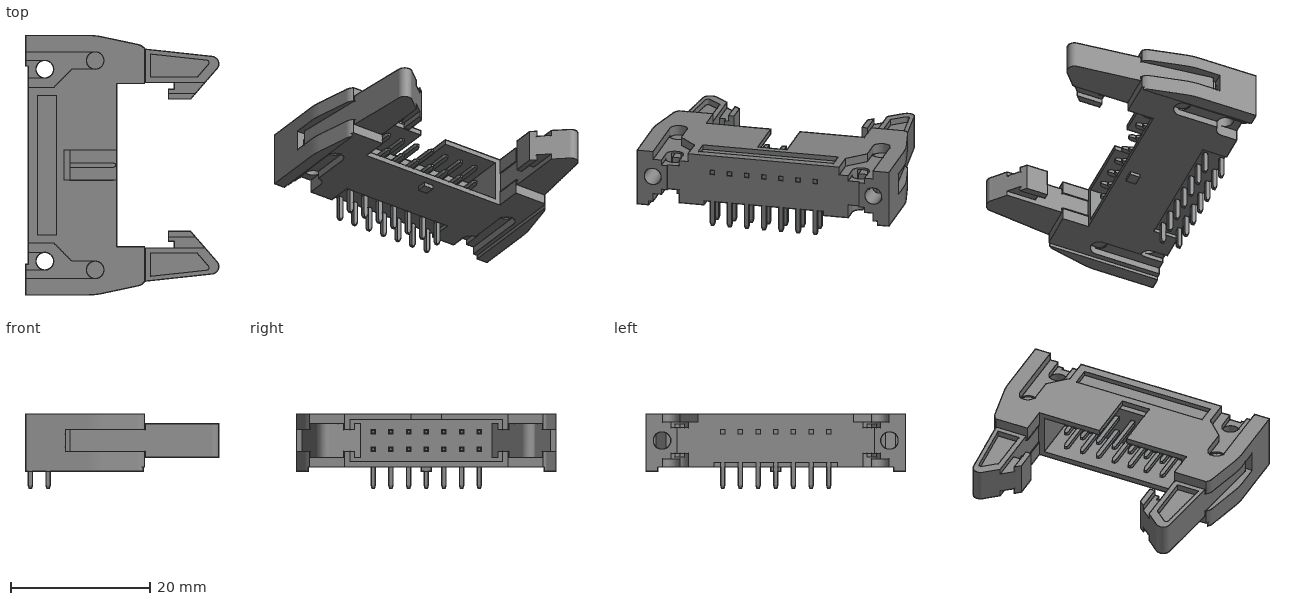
import cadquery as cq
import math


length = 37.28
half_length = length / 2
body_top = 8.25
foot_height = 0.6
foot_inner_y = 16.93
mid_z = (body_top + foot_height) / 2
end_block_x = 17.07
mating_face_x = 13.1
end_block_inner_y = 11.7
back_recess_x = 0.37
back_recess_y = 14.2

bend_start_x = 9.0
bend_end_x = 10.92
taper_angle = math.radians(12)
nose_start_x = 16.15
nose_end_y = 16.75

wall = 0.8
cavity_back_x = 6.37
cavity_half_width = end_block_inner_y - wall
key_slot_back_x = 5.48
key_slot_half_width = 2.15
label_start_x = 1.68
label_end_x = 4.4
label_length = 20.02
label_depth = 0.67

hole_diameter = 2.5
hole_radius = hole_diameter / 2
pivot_x = 10.0
pivot_y = 15.02
mount_x = 2.75
mount_y = pivot_y - hole_radius
bore_y = 16.33
channel_depth = 1.2
channel_ramp_start_x = 4.05
channel_ramp_end_x = 6.65
channel_wide_y = 11.2
mount_slot_depth = 1.98
window_width = 1.4
window_half_height = 2.35

blade_half_height = 1.55
arm_half_height = 2.42
pivot_pin_half_height = 2.4
arm_start_x = 17.2
latch_inner_y = 11.85
arm_outer_y = 16.65
latch_slope = 0.108
pocket_start_x = 5.7
blade_step_x = 6.35
blade_step_y = 17.2
blade_end_x = 4.3
tip_x = 27.75
tip_start_x = 26.85
tip_y = 14.7
tip_end_x = 27.35
tip_end_y = 13.72
hook_end_x = 23.67
hook_start_x = 20.5
hook_inner_y = 9.47
hook_ledge_y = 10.3
hook_notch_y = 10.92
neck_start_x = 21.32
relief_depth = arm_half_height - blade_half_height
relief_start_x = 17.95
relief_end_x = 24.65
relief_inner_y = 12.65
relief_margin = 0.65
relief_fillet = 0.37

pin_count = 7
pitch = 2.55
pin_width = 0.65
pin_tip_width = 0.37
pin_tip_length = 0.45
tail_bottom = -2.45
first_tail_x = back_recess_x + pin_width / 2
contact_end_x = 12.95
pin_recess_depth = 0.2
tail_notch_length = 17.67
tail_notch_depth = 0.65
tail_notch_end_x = 4.1
stud_x = 11.2
stud_width = 1.5


def block(x0, x1, y0, y1, z0, z1):
    return cq.Workplane("XY").box(x1 - x0, y1 - y0, z1 - z0, centered=False).translate((x0, y0, z0))


def lift(profile, z0, z1):
    """Extrude a closed XY profile between two heights."""
    return profile.extrude(z1 - z0).translate((0, 0, z0))


def both_ends(shape):
    return shape.union(shape.mirror("XZ"))


def cylinder(x, y, z0, z1):
    return lift(cq.Workplane("XY").center(x, y).circle(hole_radius), z0, z1)


def housing():
    bend_end_y = half_length - (bend_end_x - bend_start_x) * math.tan(taper_angle / 2)
    nose_start_y = bend_end_y - (nose_start_x - bend_end_x) * math.tan(taper_angle)
    half = (
        cq.Workplane("XY")
        .moveTo(back_recess_x, 0)
        .lineTo(back_recess_x, back_recess_y)
        .lineTo(0, back_recess_y)
        .lineTo(0, half_length)
        .lineTo(bend_start_x, half_length)
        .tangentArcPoint((bend_end_x, bend_end_y), relative=False)
        .lineTo(nose_start_x, nose_start_y)
        .tangentArcPoint((end_block_x, nose_end_y), relative=False)
        .lineTo(end_block_x, end_block_inner_y)
        .lineTo(mating_face_x, end_block_inner_y)
        .lineTo(mating_face_x, 0)
        .close()
    )
    body = both_ends(lift(half, 0, body_top))
    return body.cut(block(0, end_block_x, -foot_inner_y, foot_inner_y, 0, foot_height))


def housing_pockets():
    cavity = block(cavity_back_x, mating_face_x, -cavity_half_width, cavity_half_width,
                   foot_height + wall, body_top - wall)
    key_slot = block(key_slot_back_x, mating_face_x, -key_slot_half_width, key_slot_half_width,
                     body_top - wall, body_top)
    label = block(label_start_x, label_end_x, -label_length / 2, label_length / 2,
                  body_top - label_depth, body_top)
    tail_notch = block(0, tail_notch_end_x, -tail_notch_length / 2, tail_notch_length / 2,
                       foot_height, foot_height + tail_notch_depth)
    return cavity.union(key_slot).union(label).union(tail_notch)


def end_block_cuts():
    """Everything removed from the +Y end block."""
    channel_floor = body_top - channel_depth
    channel_roof = foot_height + channel_depth
    upper_channel = lift(
        cq.Workplane("XY")
        .moveTo(0, pivot_y + hole_radius)
        .lineTo(pivot_x, pivot_y + hole_radius)
        .lineTo(pivot_x, pivot_y - hole_radius)
        .lineTo(channel_ramp_end_x, pivot_y - hole_radius)
        .lineTo(channel_ramp_start_x, channel_wide_y)
        .lineTo(0, channel_wide_y)
        .close(),
        channel_floor, body_top)
    lower_channel = block(0, pivot_x, pivot_y - hole_radius, pivot_y + hole_radius, 0, channel_roof)
    pivot = cylinder(pivot_x, pivot_y, 0, body_top)
    mount = cylinder(mount_x, mount_y, 0, body_top)
    mount_slot = block(0, mount_x, mount_y - hole_radius, mount_y + hole_radius, 0, body_top).cut(
        block(0, mount_x, 0, half_length, foot_height + mount_slot_depth, body_top - mount_slot_depth))
    window = block(mount_x, pivot_x, mount_y - window_width / 2, mount_y + window_width / 2,
                   mid_z - window_half_height, mid_z + window_half_height)
    bore = cq.Workplane("YZ").center(bore_y, mid_z).circle(hole_radius).extrude(blade_step_x)
    blade_bottom = mid_z - blade_half_height
    blade_top = mid_z + blade_half_height
    outer_opening = block(pocket_start_x, end_block_x, pivot_y, half_length, blade_bottom, blade_top)
    inner_opening = block(mating_face_x, end_block_x, end_block_inner_y, pivot_y, blade_bottom, blade_top)
    cuts = upper_channel
    for cut in (lower_channel, pivot, mount, mount_slot, window, bore, outer_opening, inner_opening):
        cuts = cuts.union(cut)
    return cuts


def latch_outer_y(x):
    """The outer latch face is one plane that leans inward toward the tip."""
    return arm_outer_y - latch_slope * (x - arm_start_x)


def latch():
    """The +Y latch: a thin blade on a pivot pin in the housing, then a thicker arm with a hook."""
    blade = lift(
        cq.Workplane("XY").polyline([
            (blade_end_x, latch_inner_y),
            (blade_end_x, blade_step_y - (pocket_start_x - blade_end_x)),
            (pocket_start_x, blade_step_y),
            (blade_step_x, blade_step_y),
            (blade_step_x, latch_outer_y(blade_step_x)),
            (arm_start_x, arm_outer_y),
            (arm_start_x, latch_inner_y),
        ]).close(),
        mid_z - blade_half_height, mid_z + blade_half_height)

    hook_slope = (tip_end_y - hook_inner_y) / (tip_end_x - hook_end_x)

    def ramp_x(y):
        return hook_end_x + (y - hook_inner_y) / hook_slope

    arm_bottom = mid_z - arm_half_height
    arm_top = mid_z + arm_half_height
    arm = lift(
        cq.Workplane("XY")
        .moveTo(arm_start_x, latch_inner_y)
        .lineTo(arm_start_x, arm_outer_y)
        .lineTo(tip_start_x, latch_outer_y(tip_start_x))
        .threePointArc((tip_x, tip_y), (tip_end_x, tip_end_y))
        .lineTo(ramp_x(latch_inner_y), latch_inner_y)
        .close(),
        arm_bottom, arm_top)
    neck = lift(
        cq.Workplane("XY").polyline([
            (neck_start_x, latch_inner_y),
            (neck_start_x, hook_notch_y),
            (hook_start_x, hook_notch_y),
            (hook_start_x, hook_ledge_y),
            (ramp_x(hook_ledge_y), hook_ledge_y),
            (ramp_x(latch_inner_y), latch_inner_y),
        ]).close(),
        mid_z - blade_half_height, mid_z + blade_half_height)
    hook = lift(
        cq.Workplane("XY").polyline([
            (hook_start_x, hook_ledge_y),
            (hook_start_x, hook_inner_y),
            (hook_end_x, hook_inner_y),
            (ramp_x(hook_ledge_y), hook_ledge_y),
        ]).close(),
        arm_bottom, arm_top)
    relief_rise = latch_outer_y(relief_end_x) - relief_margin - relief_inner_y
    relief_tip_x = relief_end_x + relief_rise / (hook_slope + latch_slope)
    relief = lift(
        cq.Workplane("XY").polyline([
            (relief_start_x, relief_inner_y),
            (relief_start_x, latch_outer_y(relief_start_x) - relief_margin),
            (relief_tip_x, latch_outer_y(relief_tip_x) - relief_margin),
            (relief_end_x, relief_inner_y),
        ]).close(),
        arm_top - relief_depth, arm_top)
    relief = relief.edges("|Z and >X").fillet(relief_fillet)
    pivot_pin = cylinder(pivot_x, pivot_y, mid_z - pivot_pin_half_height, mid_z + pivot_pin_half_height)
    return blade.union(pivot_pin).union(arm).union(neck).union(hook).cut(relief)


def pin(pin_length):
    """Square pin pointing up from Z = 0, with a tapered tip."""
    shank = cq.Workplane("XY").rect(pin_width, pin_width).extrude(pin_length - pin_tip_length)
    tip = (
        cq.Workplane("XY").workplane(offset=pin_length - pin_tip_length).rect(pin_width, pin_width)
        .workplane(offset=pin_tip_length).rect(pin_tip_width, pin_tip_width).loft())
    return shank.union(tip)


def pin_places():
    return [(i - (pin_count - 1) / 2) * pitch for i in range(pin_count)]


result = housing().cut(housing_pockets()).cut(both_ends(end_block_cuts())).union(both_ends(latch()))

result = result.union(block(stud_x - stud_width / 2, stud_x + stud_width / 2,
                            -stud_width / 2, stud_width / 2, 0, foot_height))

tail_root_z = foot_height + tail_notch_depth
tail = pin(tail_root_z - tail_bottom).rotate((0, 0, 0), (1, 0, 0), 180)
contact = pin(contact_end_x - cavity_back_x).rotate((0, 0, 0), (0, 1, 0), 90)
for y in pin_places():
    for row in range(2):
        contact_z = mid_z + (row - 0.5) * pitch
        result = result.union(tail.translate((first_tail_x + row * pitch, y, tail_root_z)))
        result = result.union(contact.translate((cavity_back_x, y, contact_z)))
    recess_z = mid_z + pitch / 2
    result = result.cut(block(back_recess_x, back_recess_x + pin_recess_depth,
                              y - pin_width / 2, y + pin_width / 2,
                              recess_z - pin_width / 2, recess_z + pin_width / 2))